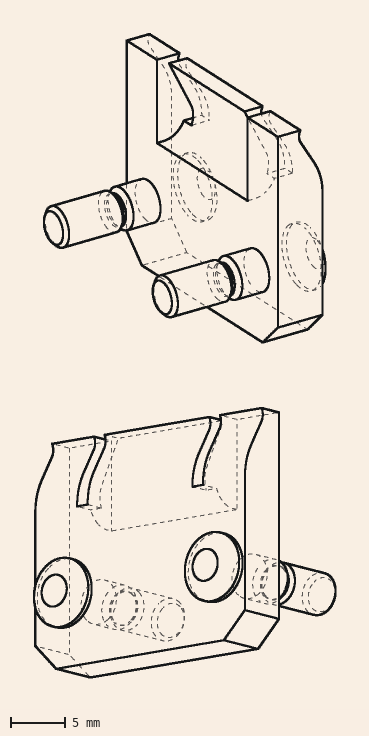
import cadquery as cq
import math

WIDTH = 25.0
THICKNESS = 5.0
HEIGHT = 22.0
CORNER_CHAMFER = 2.5

BULGE_RADIUS = 6.25
BULGE_START_Z = 15.0
THROAT_RADIUS = 1.25
THROAT_Y = 2.38
THROAT_Z = 21.4

WINDOW_WIDTH = 15.0
TONGUE_WIDTH = 12.5
TONGUE_TIP_Y = 0.5
SLOT_FLOOR_Z = 15.0
SCOOP_FLOOR_Z = 13.5
SCOOP_RADIUS = 2.5
SCOOP_CENTRE_Y = 0.7

PIN_SPACING = 18.0
PIN_Z = 7.0
HEAD_DIAMETER = 6.5
HEAD_TOP_DIAMETER = 3.0
HEAD_RIM = 0.5
HEAD_HEIGHT = 1.5
SHANK_DIAMETER = 4.2
SHANK_LENGTH = 3.0
GROOVE_DIAMETER = 3.2
GROOVE_WIDTH = 0.25
END_DIAMETER = 4.0
PIN_REACH = 10.5


def polar(centre, radius, angle):
    """Point on a circle in the YZ plane, angle in radians from +Y towards +Z."""
    return centre[0] + radius * math.cos(angle), centre[1] + radius * math.sin(angle)


def extrude_across(profile, width):
    """Extrude a closed YZ profile symmetrically about x = 0."""
    return profile.extrude(width / 2, both=True)


def make_plate():
    """Plate with an S-curved back: convex arc, tangent straight, concave arc."""
    bulge = (THICKNESS - BULGE_RADIUS, BULGE_START_Z)
    throat = (THROAT_Y + THROAT_RADIUS, THROAT_Z)
    dy = throat[0] - bulge[0]
    dz = throat[1] - bulge[1]
    lean = math.asin((BULGE_RADIUS + THROAT_RADIUS) / math.hypot(dy, dz)) - math.atan2(dy, dz)
    rim_rise = HEIGHT - THROAT_Z
    rim_y = throat[0] - math.sqrt(THROAT_RADIUS**2 - rim_rise**2)

    plate = extrude_across(
        cq.Workplane("YZ")
        .lineTo(THICKNESS, 0)
        .lineTo(THICKNESS, BULGE_START_Z)
        .threePointArc(polar(bulge, BULGE_RADIUS, lean / 2), polar(bulge, BULGE_RADIUS, lean))
        .lineTo(*polar(throat, THROAT_RADIUS, math.pi + lean))
        .threePointArc((THROAT_Y, THROAT_Z), (rim_y, HEIGHT))
        .lineTo(0, HEIGHT)
        .close(),
        WIDTH,
    )
    return plate.edges("|Y and <Z").chamfer(CORNER_CHAMFER)


def make_scoop():
    """Window cutter: flat ledge, round bottom and the tongue's sloping front."""
    centre = (SCOOP_CENTRE_Y, SCOOP_FLOOR_Z + SCOOP_RADIUS)
    dy = centre[0] - TONGUE_TIP_Y
    dz = HEIGHT - centre[1]
    touch = math.asin(SCOOP_RADIUS / math.hypot(dy, dz)) + math.atan2(dy, dz)
    return extrude_across(
        cq.Workplane("YZ")
        .moveTo(0, SCOOP_FLOOR_Z)
        .lineTo(SCOOP_CENTRE_Y, SCOOP_FLOOR_Z)
        .threePointArc(polar(centre, SCOOP_RADIUS, 0), polar(centre, SCOOP_RADIUS, touch))
        .lineTo(TONGUE_TIP_Y, HEIGHT)
        .lineTo(0, HEIGHT)
        .close(),
        WINDOW_WIDTH,
    )


def make_slot(side):
    """Slot cutter between the tongue and one arm; side is -1 or +1."""
    slot_width = (WINDOW_WIDTH - TONGUE_WIDTH) / 2
    slot_x = side * (WINDOW_WIDTH + TONGUE_WIDTH) / 4
    return (
        cq.Workplane("XY", origin=(slot_x, THICKNESS / 2, SLOT_FLOOR_Z))
        .rect(slot_width, THICKNESS)
        .extrude(HEIGHT - SLOT_FLOOR_Z)
    )


def make_pin(x):
    """Pin with a coned head behind the plate and a grooved shank in front."""
    head_radius = HEAD_DIAMETER / 2
    shank_radius = SHANK_DIAMETER / 2
    groove_radius = GROOVE_DIAMETER / 2
    end_radius = END_DIAMETER / 2
    end_chamfer = end_radius - groove_radius
    groove_start = -SHANK_LENGTH - (shank_radius - groove_radius)
    groove_end = groove_start - GROOVE_WIDTH
    return (
        cq.Workplane("XY", origin=(x, 0, PIN_Z))
        .moveTo(0, THICKNESS + HEAD_HEIGHT)
        .lineTo(HEAD_TOP_DIAMETER / 2, THICKNESS + HEAD_HEIGHT)
        .lineTo(head_radius, THICKNESS + HEAD_RIM)
        .lineTo(head_radius, THICKNESS)
        .lineTo(shank_radius, THICKNESS)
        .lineTo(shank_radius, -SHANK_LENGTH)
        .lineTo(groove_radius, groove_start)
        .lineTo(groove_radius, groove_end)
        .lineTo(end_radius, groove_end - end_chamfer)
        .lineTo(end_radius, end_chamfer - PIN_REACH)
        .lineTo(end_radius - end_chamfer, -PIN_REACH)
        .lineTo(0, -PIN_REACH)
        .close()
        .revolve(360, (0, 0, 0), (0, 1, 0))
    )


result = make_plate().cut(make_scoop())
for side in (-1, 1):
    result = result.cut(make_slot(side))
for side in (-1, 1):
    result = result.union(make_pin(side * PIN_SPACING / 2))